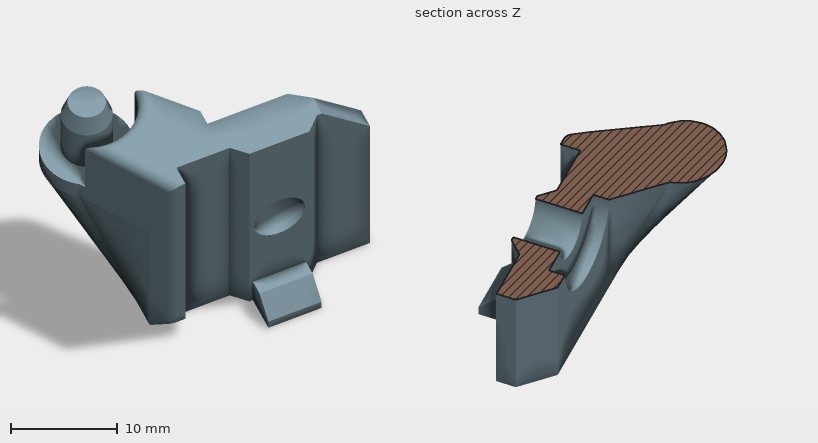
import cadquery as cq
import math

height = 24.0

plate_thickness = 5.0
mount_y = 5.25
mount_z = height / 2
hole_to_end = 10.0
plate_end_y = mount_y + hole_to_end
plate_side_chamfer = 3.0
plate_top_chamfer = 5.0

hole_diameter = 5.3
recess_width = 2 * mount_y
recess_depth = 1.6

boss_depth = 1.4
boss_base_width = 9.0
boss_face_x = plate_thickness + boss_depth

hook_length = 3.5
hook_end_x = boss_face_x + hook_length
hook_width = 5.5
hook_height = 3.0
hook_chamfer = 2.0

disk_radius = 4.5
disk_x = -5.4
hole_to_pin = 14.5
disk_y = mount_y - hole_to_pin
disk_thickness = 2.0
disk_top_z = 16.9
disk_bottom_z = disk_top_z - disk_thickness
disk_start_angle = math.radians(90)
disk_left_angle = math.radians(180)
disk_front_angle = math.radians(270)
disk_end_angle = math.radians(326.4)
edge_radius = 1.0

foot_x = 7.0
foot_back_y = mount_y - hole_to_end
foot_front_y = -6.1
foot_chamfer = 2.0

base_front_y = -7.5
base_side_y = -2.5
base_front_x = 2.0
base_corner_radius = 0.8

pin_diameter = 4.9
pin_tip_diameter = 3.6
pin_tip_height = 2.0
clearance_radius = 4.8


def on_disk(angle):
    """Point on the rim of the disk."""
    return (disk_x + disk_radius * math.cos(angle), disk_y + disk_radius * math.sin(angle))


def arc_inset(radius):
    """Distance from each tangent line to the middle of a quarter-round corner."""
    return radius * (1 - math.sqrt(0.5))


arm_start = on_disk(disk_start_angle)
arm_end = on_disk(disk_end_angle)
foot_corner = (foot_x, foot_front_y)
front_slope = (foot_corner[1] - arm_end[1]) / (foot_corner[0] - arm_end[0])
front_angle = math.atan(front_slope)

base_end_x = foot_x - (foot_front_y - base_front_y) / front_slope
base_end = (base_end_x, base_front_y)


def make_plate():
    outline = [
        (0, 0),
        (plate_thickness, 0),
        (plate_thickness, plate_end_y),
        (plate_side_chamfer, plate_end_y),
        (0, plate_end_y - plate_side_chamfer),
    ]
    return cq.Workplane("XY").polyline(outline).close().extrude(height)


def make_plate_slope():
    """Cutter for the sloped upper end of the plate and the bevel along its outer side."""
    slope_bottom = (0, plate_end_y, height - plate_top_chamfer)
    start = cq.Plane(origin=slope_bottom, xDir=(1, 0, 0), normal=(0, -1, 1))
    outline = [
        (0, -plate_side_chamfer),
        (plate_side_chamfer, 0),
        (plate_thickness, 0),
        (plate_thickness, plate_top_chamfer),
        (0, plate_top_chamfer),
    ]
    return cq.Workplane(start).polyline(outline).close().extrude(height, both=True)


def make_boss():
    base = boss_base_width / 2
    face = base - boss_depth
    outline = [
        (plate_thickness, mount_y - base),
        (boss_face_x, mount_y - face),
        (boss_face_x, mount_y + face),
        (plate_thickness, mount_y + base),
    ]
    return cq.Workplane("XY").polyline(outline).close().extrude(height)


def make_hook():
    outline = [
        (plate_thickness, 0),
        (hook_end_x, 0),
        (hook_end_x, hook_height - hook_chamfer),
        (hook_end_x - hook_chamfer, hook_height),
        (plate_thickness, hook_height),
    ]
    start = cq.Workplane("XZ", origin=(0, mount_y + hook_width / 2, 0))
    return start.polyline(outline).close().extrude(hook_width)


def make_upper_arm():
    """Arm and disk in one outline, from the underside of the disk to the top."""
    return (
        cq.Workplane("XY", origin=(0, 0, disk_bottom_z))
        .moveTo(0, 0)
        .lineTo(*arm_start)
        .threePointArc(on_disk((disk_start_angle + disk_end_angle) / 2), arm_end)
        .lineTo(*foot_corner)
        .lineTo(foot_x, foot_back_y)
        .lineTo(plate_thickness, foot_back_y)
        .lineTo(plate_thickness, 0)
        .close()
        .extrude(height - disk_bottom_z)
    )


def make_lower_foot():
    outline = [
        base_end,
        foot_corner,
        (foot_x, foot_back_y),
        (plate_thickness, foot_back_y),
        (plate_thickness, 0),
        (base_end_x, 0),
    ]
    return cq.Workplane("XY").polyline(outline).close().extrude(disk_bottom_z)


def make_support():
    """Ruled transition from the rounded base corner up to the arm and disk."""
    arc_offset = arc_inset(base_corner_radius)
    bottom = (
        cq.Workplane("XY")
        .lineTo(0, base_side_y)
        .lineTo(0, base_front_y + base_corner_radius)
        .threePointArc((arc_offset, base_front_y + arc_offset), (base_corner_radius, base_front_y))
        .lineTo(base_front_x, base_front_y)
        .lineTo(*base_end)
        .lineTo(base_end_x, 0)
        .close()
    )
    top = (
        cq.Workplane("XY", origin=(0, 0, disk_bottom_z))
        .lineTo(*arm_start)
        .threePointArc(on_disk((disk_start_angle + disk_left_angle) / 2), on_disk(disk_left_angle))
        .threePointArc(on_disk((disk_left_angle + disk_front_angle) / 2), on_disk(disk_front_angle))
        .threePointArc(on_disk((disk_front_angle + disk_end_angle) / 2), arm_end)
        .lineTo(*base_end)
        .lineTo(base_end_x, 0)
        .close()
    )
    return cq.Workplane(cq.Solid.makeLoft([bottom.val(), top.val()], True))


def make_front_rounding():
    """Cutter that rounds the top edge of the slanted front of the arm."""
    radius = edge_radius
    arc_offset = arc_inset(radius)
    outward = (math.sin(front_angle), -math.cos(front_angle), 0)
    backward = (-math.cos(front_angle), -math.sin(front_angle), 0)
    start = cq.Plane(origin=(*foot_corner, height), xDir=outward, normal=backward)
    length = math.dist(arm_end, foot_corner)
    return (
        cq.Workplane(start)
        .moveTo(-radius, 0)
        .threePointArc((-arc_offset, -arc_offset), (0, -radius))
        .lineTo(radius, -radius)
        .lineTo(radius, 0)
        .close()
        .extrude(length, both=True)
    )


def make_clearance():
    """Bore above the disk, flaring out over a rounded upper edge."""
    radius = edge_radius
    arc_offset = arc_inset(radius)
    return (
        cq.Workplane("XZ", origin=(disk_x, disk_y, 0))
        .moveTo(0, disk_top_z)
        .lineTo(clearance_radius, disk_top_z)
        .lineTo(clearance_radius, height - radius)
        .threePointArc(
            (clearance_radius + arc_offset, height - arc_offset),
            (clearance_radius + radius, height),
        )
        .lineTo(0, height)
        .close()
        .revolve(360, (0, 0, 0), (0, 1, 0))
    )


def make_foot_chamfer():
    """Cutter for the lower edge of the foot."""
    corner = [(foot_x - foot_chamfer, 0), (foot_x, 0), (foot_x, foot_chamfer)]
    start = cq.Workplane("XZ", origin=(0, foot_back_y, 0))
    return start.polyline(corner).close().extrude(foot_back_y - base_front_y)


def make_pin():
    pin = cq.Workplane("XY", origin=(disk_x, disk_y, disk_top_z)).circle(pin_diameter / 2)
    pin = pin.extrude(height - disk_top_z - pin_tip_height)
    tip = pin.faces(">Z").workplane().circle(pin_diameter / 2)
    return tip.workplane(offset=pin_tip_height).circle(pin_tip_diameter / 2).loft()


def make_recess():
    """Round-bottomed recess in the outer face of the plate, running out at the top."""
    start = cq.Workplane("YZ", origin=(0, mount_y, mount_z))
    round_end = start.circle(recess_width / 2).extrude(recess_depth)
    straight = start.center(0, mount_z / 2).rect(recess_width, mount_z).extrude(recess_depth)
    return round_end.union(straight)


def make_hole():
    start = cq.Workplane("YZ", origin=(0, mount_y, mount_z))
    return start.circle(hole_diameter / 2).extrude(boss_face_x)


arm = make_upper_arm().union(make_lower_foot())
foot_edges = cq.selectors.NearestToPointSelector((*foot_corner, height / 2))
arm = arm.edges(foot_edges).fillet(edge_radius)
arm = arm.cut(make_front_rounding()).cut(make_foot_chamfer()).cut(make_clearance())

plate = make_plate().cut(make_plate_slope()).union(make_boss()).union(make_hook())
plate = plate.cut(make_recess()).cut(make_hole())

result = plate.union(arm).union(make_support()).union(make_pin())